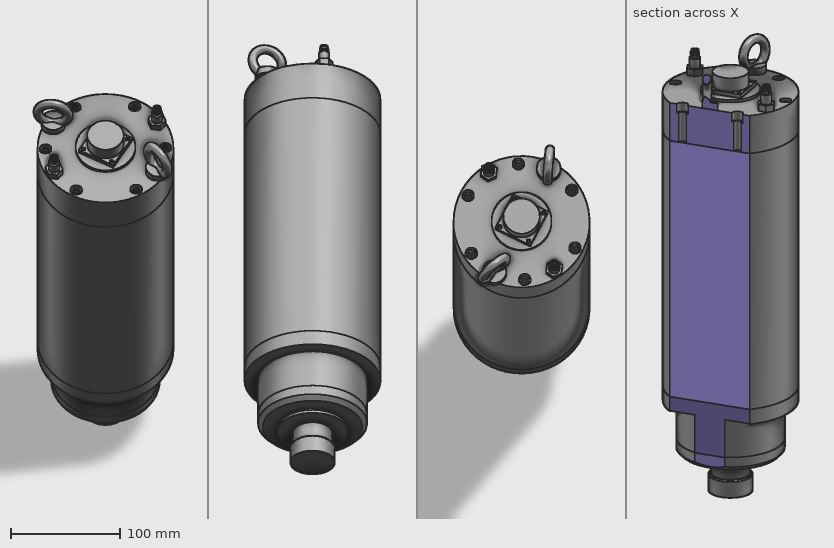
import cadquery as cq
import math

TOTAL_HEIGHT = 429.0
SHAFT_HEAD_TOP = 17.0
SLINGER_BOTTOM = 33.5
SLINGER_TOP = 36.5
CAP_FACE = 38.0
CAP_TOP = 52.0
FLANGE_BOTTOM = 89.0
FLANGE_TOP = 103.5
COVER_BOTTOM = 356.0
COVER_TOP = 393.5

BODY_DIAMETER = 125.0
NOSE_DIAMETER = 100.0
CAP_CHAMFER = 4.5
SLINGER_DIAMETER = 65.0
COLLAR_DIAMETER = 38.5
COLLAR_HEIGHT = 1.5
SHAFT_DIAMETER = 36.0
SHAFT_HEAD_DIAMETER = 40.8
SHAFT_HEAD_CHAMFER = 1.5

PITCH_RADIUS = 55.0
SCREW_COUNT = 6
FIRST_SCREW_ANGLE = 30.0
COUNTERBORE_DIAMETER = 10.7
COUNTERBORE_DEPTH = 8.5
SCREW_HOLE_DIAMETER = 7.0

DISC_DIAMETER = 55.0
DISC_HEIGHT = 2.5
PLATE_SIDE = 36.0
PLATE_TOP = 6.5
PLATE_HOLE_SPACING = 29.5
PLATE_HOLE_DIAMETER = 3.5
PLUG_DIAMETER = 33.5
PLUG_TOP = 19.7

RING_RADIUS = 14.0
RING_WIRE_RADIUS = 4.08
RING_TURN = 22.0
EYE_BASE_DIAMETER = 22.0
EYE_BASE_HEIGHT = 7.0

FITTING_ANGLES = (60.0, 240.0)
HEX_CORNER_DIAMETER = 16.5
HEX_TURN = 20.0
HEX_TOP = 6.5
BARREL_DIAMETER = 10.0
BARREL_TOP = 16.0
NECK_DIAMETER = 5.0
BARB_DIAMETER = 8.0
BARB_BOTTOM = 19.0
BARB_TOP = 21.0
LIP_DIAMETER = 7.0
LIP_BOTTOM = 22.7
FITTING_TOP = 23.5
FITTING_BORE_DIAMETER = 3.0


def cylinder(diameter, bottom, top):
    """Upright cylinder on the Z axis between two heights."""
    return cq.Workplane("XY").workplane(offset=bottom).circle(diameter / 2).extrude(top - bottom)


def on_pitch_circle(angle):
    """Point on the pitch circle of the cover at an angle in degrees."""
    return (
        PITCH_RADIUS * math.cos(math.radians(angle)),
        PITCH_RADIUS * math.sin(math.radians(angle)),
    )


def make_shaft():
    """Shaft with a chamfered head, a small collar and a slinger disc."""
    head = cylinder(SHAFT_HEAD_DIAMETER, 0, SHAFT_HEAD_TOP).faces(">Z").chamfer(SHAFT_HEAD_CHAMFER)
    stem = cylinder(SHAFT_DIAMETER, SHAFT_HEAD_TOP, SLINGER_BOTTOM)
    collar = cylinder(COLLAR_DIAMETER, SLINGER_BOTTOM - COLLAR_HEIGHT, SLINGER_BOTTOM)
    slinger = cylinder(SLINGER_DIAMETER, SLINGER_BOTTOM, SLINGER_TOP)
    return head.union(stem).union(collar).union(slinger)


def make_nose_cap():
    """Chamfered end cap with a low lip against the slinger."""
    cap = cylinder(NOSE_DIAMETER, CAP_FACE, CAP_TOP).faces("<Z").chamfer(CAP_CHAMFER)
    lip = cylinder(SLINGER_DIAMETER, SLINGER_TOP, CAP_FACE)
    return cap.union(lip)


def make_front_flange():
    """Bearing nose with the flange that closes the housing."""
    nose = cylinder(NOSE_DIAMETER, CAP_TOP, FLANGE_BOTTOM)
    flange = cylinder(BODY_DIAMETER, FLANGE_BOTTOM, FLANGE_TOP)
    return nose.union(flange)


def make_housing():
    """Long cylindrical motor housing."""
    return cylinder(BODY_DIAMETER, FLANGE_TOP, COVER_BOTTOM)


def make_rear_cover():
    """Rear cover with a ring of counterbored screw holes."""
    step = 360 / SCREW_COUNT
    screw_points = [on_pitch_circle(FIRST_SCREW_ANGLE + i * step) for i in range(SCREW_COUNT)]
    return (
        cylinder(BODY_DIAMETER, COVER_BOTTOM, COVER_TOP)
        .faces(">Z")
        .workplane(origin=(0, 0, COVER_TOP))
        .pushPoints(screw_points)
        .cboreHole(SCREW_HOLE_DIAMETER, COUNTERBORE_DIAMETER, COUNTERBORE_DEPTH)
    )


def make_connector():
    """Connector with a round base, a square plate with corner holes and a round plug."""
    disc = cylinder(DISC_DIAMETER, 0, DISC_HEIGHT)
    plate = (
        cq.Workplane("XY")
        .workplane(offset=DISC_HEIGHT)
        .rect(PLATE_SIDE, PLATE_SIDE)
        .extrude(PLATE_TOP - DISC_HEIGHT)
    )
    corner_holes = (
        cq.Workplane("XY")
        .workplane(offset=DISC_HEIGHT)
        .rect(PLATE_HOLE_SPACING, PLATE_HOLE_SPACING, forConstruction=True)
        .vertices()
        .circle(PLATE_HOLE_DIAMETER / 2)
        .extrude(PLATE_TOP - DISC_HEIGHT)
    )
    plug = cylinder(PLUG_DIAMETER, DISC_HEIGHT, PLUG_TOP)
    connector = disc.union(plate.cut(corner_holes)).union(plug)
    return connector.translate((0, 0, COVER_TOP))


def make_eye_bolt(side):
    """Eye bolt on the +X (side = 1) or -X (side = -1) edge, its outer end turned toward -Y.

    The ring sinks through its base and is trimmed flush with the cover.
    """
    ring_center = TOTAL_HEIGHT - RING_RADIUS - RING_WIRE_RADIUS
    ring = cq.Workplane(
        cq.Solid.makeTorus(
            RING_RADIUS, RING_WIRE_RADIUS, cq.Vector(0, 0, ring_center), cq.Vector(0, 1, 0)
        )
    )
    base = cylinder(EYE_BASE_DIAMETER, COVER_TOP, COVER_TOP + EYE_BASE_HEIGHT)
    turned_ring = ring.rotate((0, 0, 0), (0, 0, 1), -side * RING_TURN)
    below_cover = cylinder(EYE_BASE_DIAMETER, COVER_TOP - RING_WIRE_RADIUS, COVER_TOP)
    return base.union(turned_ring).cut(below_cover).translate((side * PITCH_RADIUS, 0, 0))


def make_fitting(angle):
    """Bored hose fitting with a hexagon foot, a barrel and a barbed tip."""
    foot = (
        cq.Workplane("XY")
        .polygon(6, HEX_CORNER_DIAMETER)
        .extrude(HEX_TOP)
        .rotate((0, 0, 0), (0, 0, 1), HEX_TURN)
    )
    barrel = cylinder(BARREL_DIAMETER, HEX_TOP, BARREL_TOP)
    neck = cylinder(NECK_DIAMETER, BARREL_TOP, FITTING_TOP)
    barb = cylinder(BARB_DIAMETER, BARB_BOTTOM, BARB_TOP)
    lip = cylinder(LIP_DIAMETER, LIP_BOTTOM, FITTING_TOP)
    bore = cylinder(FITTING_BORE_DIAMETER, 0, FITTING_TOP)
    fitting = foot.union(barrel).union(neck).union(barb).union(lip).cut(bore)
    x, y = on_pitch_circle(angle)
    return fitting.translate((x, y, COVER_TOP))


shaft = make_shaft()
nose_cap = make_nose_cap()
front_flange = make_front_flange()
housing = make_housing()
rear_cover = make_rear_cover()
connector = make_connector()
eye_bolts = [make_eye_bolt(side) for side in (1, -1)]
fittings = [make_fitting(angle) for angle in FITTING_ANGLES]

result = cq.Compound.makeCompound(
    [
        shaft.val(),
        nose_cap.val(),
        front_flange.val(),
        housing.val(),
        rear_cover.val(),
        connector.val(),
        *[eye_bolt.val() for eye_bolt in eye_bolts],
        *[fitting.val() for fitting in fittings],
    ]
)